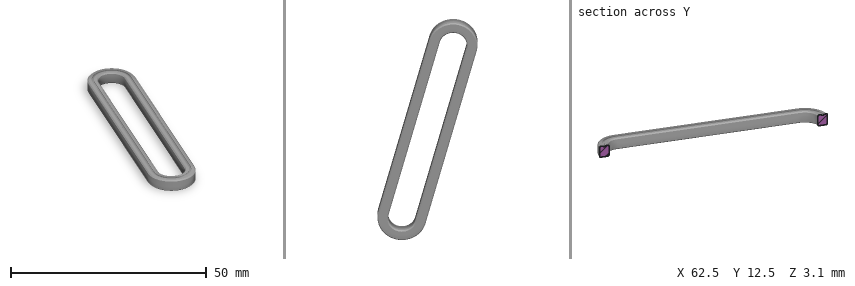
import cadquery as cq

length = 62.5
width = 12.5
height = 3.1

wall = 2.75
edge_chamfer = 0.3
groove_width = 0.55
groove_depth = 0.2


def stadium(inset, depth, base):
    """Solid stadium whose outline lies `inset` inside the ring's outer edge."""
    outline = cq.Workplane("XY").workplane(offset=base)
    return outline.slot2D(length - 2 * inset, width - 2 * inset).extrude(depth)


def stadium_ring(inset, ring_width, depth, base):
    """Stadium-shaped ring of constant width, starting `inset` inside the outer edge."""
    return stadium(inset, depth, base).cut(stadium(inset + ring_width, depth, base))


bottom = -height / 2
body = stadium_ring(0, wall, height, bottom)
body = body.faces("|Z").edges().chamfer(edge_chamfer)

groove_inset = (wall - groove_width) / 2
groove_floor = height / 2 - groove_depth
groove = stadium_ring(groove_inset, groove_width, groove_depth, groove_floor)

result = body.cut(groove)